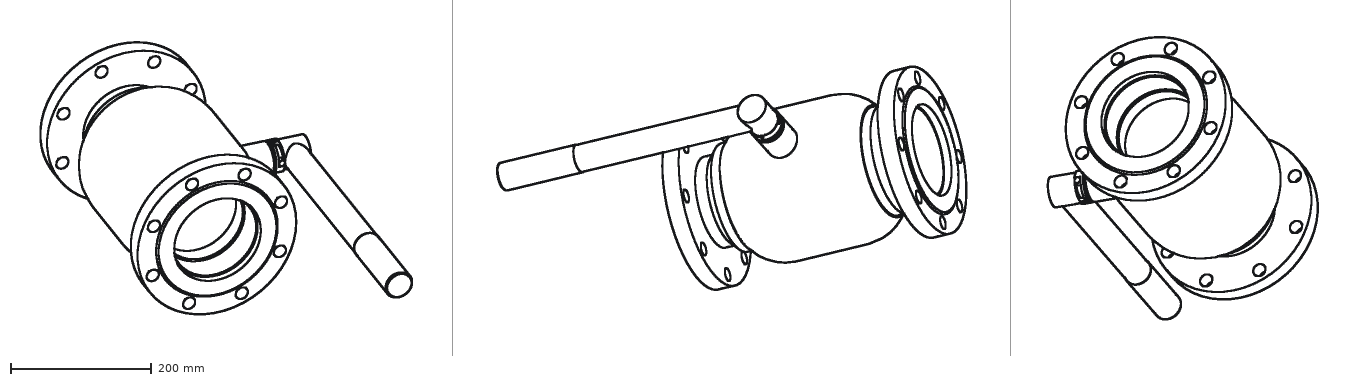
import cadquery as cq
import math


face_to_face = 369.0
flange_radius = 122.5
flange_thickness = 26.0
raised_face_radius = 94.0
raised_face_height = 2.5
raised_face_inset = 3.0
bolt_count = 8
bolt_circle_radius = 106.0
bolt_hole_radius = 9.5
bolt_circle_turn = -1.3

pipe_radius = 67.0
pipe_bore_radius = 64.5
pipe_start = 12.0
cone_start = 46.5
cone_end = 59.0
collar_radius = 79.5
pipe_end = 81.5

flow_bore_radius = 62.0
bore_cone_start = 54.5
bore_cone_end = 56.0
shell_radius = 109.5
shell_start = 74.0
shell_mouth_radius = 82.0
dome_length = 55.5

neck_radius = 24.0
neck_bore_radius = 20.5
neck_top = 170.5
groove_radius = 22.0
groove_bottom = 153.5
groove_top = 157.0
pin_radius = 4.5
pin_reach = 23.5
stem_radius = 15.0
hub_radius = 22.0
lever_height = 191.0
lever_radius = 20.0
grip_radius = 20.5
grip_start = 465.5
grip_end = 586.0
grip_chamfer = 2.0

center_x = face_to_face / 2
flange_back = raised_face_height + flange_thickness
first_bolt_angle = 180 / bolt_count + bolt_circle_turn
dome_end = shell_start + dome_length
dome_rise = shell_radius - shell_mouth_radius
dome_radius = (dome_length**2 + dome_rise**2) / (2 * dome_rise)
dome_half_angle = math.asin(dome_length / dome_radius) / 2
dome_middle_x = dome_end - dome_radius * math.sin(dome_half_angle)
dome_middle_radius = shell_radius - dome_radius * (1 - math.cos(dome_half_angle))
notch_floor = neck_top - 2 * pin_radius
pin_height = neck_top - pin_radius
hub_top = lever_height + grip_radius


def turned(outline):
    """Revolve an open (x, radius) outline about the flow axis after closing it."""
    return outline.close().revolve(360, (0, 0, 0), (1, 0, 0))


def opposite(x):
    """Position at the right-hand end that matches x at the left-hand end."""
    return face_to_face - x


def mirrored(body):
    """Copy of a left-hand body at the right-hand end of the valve."""
    return body.mirror("YZ", (center_x, 0, 0))


def stem_cylinder(radius, bottom, top):
    """Cylinder on the stem axis between two heights along Y."""
    return cq.Workplane("XZ", origin=(center_x, bottom, 0)).circle(radius).extrude(bottom - top)


def x_cylinder(radius, start, end, height):
    """Cylinder along X, at the given height along Y."""
    return cq.Workplane("YZ", origin=(start, height, 0)).circle(radius).extrude(end - start)


def make_flange():
    """Left-hand flange with a bevelled raised face and a ring of bolt holes."""
    disc = turned(
        cq.Workplane("XY")
        .moveTo(0, pipe_radius)
        .lineTo(0, raised_face_radius - raised_face_inset)
        .lineTo(raised_face_height, raised_face_radius)
        .lineTo(raised_face_height, flange_radius)
        .lineTo(flange_back, flange_radius)
        .lineTo(flange_back, pipe_radius)
    )
    bolt_holes = (
        cq.Workplane("YZ")
        .polarArray(bolt_circle_radius, first_bolt_angle, 360, bolt_count)
        .circle(bolt_hole_radius)
        .extrude(flange_back)
    )
    return disc.cut(bolt_holes)


def make_end_pipe():
    """Left-hand pipe that starts inside the flange and widens to a collar inside the shell."""
    return turned(
        cq.Workplane("XY")
        .moveTo(pipe_start, pipe_bore_radius)
        .lineTo(pipe_start, pipe_radius)
        .lineTo(cone_start, pipe_radius)
        .lineTo(cone_end, collar_radius)
        .lineTo(pipe_end, collar_radius)
        .lineTo(pipe_end, flow_bore_radius)
        .lineTo(bore_cone_end, flow_bore_radius)
        .lineTo(bore_cone_start, pipe_bore_radius)
    )


def make_shell():
    """Domed shell with a through bore and a socket for the pipe collar at each end."""
    return turned(
        cq.Workplane("XY")
        .moveTo(pipe_end, flow_bore_radius)
        .lineTo(pipe_end, collar_radius)
        .lineTo(shell_start, collar_radius)
        .lineTo(shell_start, shell_mouth_radius)
        .threePointArc((dome_middle_x, dome_middle_radius), (dome_end, shell_radius))
        .lineTo(opposite(dome_end), shell_radius)
        .threePointArc(
            (opposite(dome_middle_x), dome_middle_radius),
            (opposite(shell_start), shell_mouth_radius),
        )
        .lineTo(opposite(shell_start), collar_radius)
        .lineTo(opposite(pipe_end), collar_radius)
        .lineTo(opposite(pipe_end), flow_bore_radius)
    )


def make_stop_notch(side):
    """Quarter-turn clearance for one end of the stop pin; side is +1 toward +X +Z or -1 opposite."""
    width = neck_radius + pin_radius
    middle = side * (width / 2 - pin_radius)
    return cq.Workplane("XY").box(width, neck_top - notch_floor, width).translate(
        (center_x + middle, (neck_top + notch_floor) / 2, middle)
    )


def make_neck():
    """Neck standing on the shell, with a groove, a recess for the stem and two stop notches."""
    shell_barrel = x_cylinder(shell_radius, dome_end, opposite(dome_end), 0)
    neck = stem_cylinder(neck_radius, 0, neck_top).cut(shell_barrel)
    groove_core = stem_cylinder(groove_radius, groove_bottom, groove_top)
    neck = neck.cut(stem_cylinder(neck_radius, groove_bottom, groove_top).cut(groove_core))
    neck = neck.cut(stem_cylinder(neck_bore_radius, notch_floor, neck_top))
    for side in (1, -1):
        neck = neck.cut(make_stop_notch(side))
    return neck


def make_stop_pin():
    """Pin through the stem whose ends swing in the neck notches."""
    return x_cylinder(pin_radius, center_x - pin_reach, center_x + pin_reach, pin_height)


def make_hub():
    """Handle hub resting on the neck, with the stem below it cross-drilled for the stop pin."""
    stem = stem_cylinder(stem_radius, notch_floor, neck_top)
    return stem_cylinder(hub_radius, neck_top, hub_top).union(stem).cut(make_stop_pin())


def make_lever():
    """Round lever bar whose inner end is coped to fit the hub."""
    hub_space = stem_cylinder(hub_radius, neck_top, hub_top)
    return x_cylinder(lever_radius, center_x, grip_start, lever_height).cut(hub_space)


def make_grip():
    """Grip on the end of the lever bar."""
    grip = x_cylinder(grip_radius, grip_start, grip_end, lever_height)
    return grip.faces(">X").chamfer(grip_chamfer)


flange = make_flange()
end_pipe = make_end_pipe()
pairs = [body for left in (flange, end_pipe) for body in (left.val(), mirrored(left).val())]

shell = make_shell()
neck = make_neck()
stop_pin = make_stop_pin()
hub = make_hub()
lever = make_lever()
grip = make_grip()

result = cq.Compound.makeCompound(
    [*pairs, shell.val(), neck.val(), stop_pin.val(), hub.val(), lever.val(), grip.val()]
)